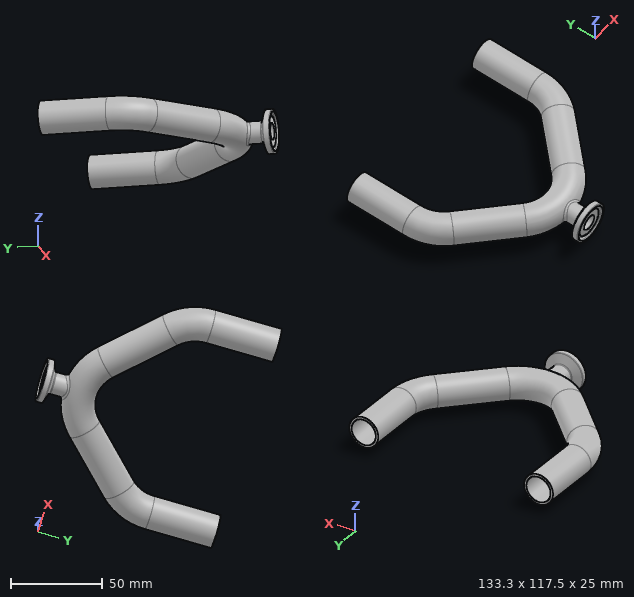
import math

import cadquery as cq

overall_width = 133.3
overall_depth = 117.5
tube_diameter = 19.1
tube_bore = 15.7
leg_length = 38.1
bend_radius = 28.5
bend_angle = 45.0

neck_diameter = 12.7
neck_bore = 9.3
junction_fillet = 1.6
flange_diameter = 25.0
flange_rim_height = 3.7
flange_cone_angle = 20.0
rim_fillet = 0.4
cone_root_fillet = 0.5

groove_outer_diameter = 21.9
groove_cone_diameter = 19.1
seat_diameter = 17.3
seat_recess = 1.1
groove_wall_angle = 45.0

leg_x = (overall_width - tube_diameter) / 2
bend_run = bend_radius * math.sin(math.radians(bend_angle))
bend_offset = bend_radius * (1 - math.cos(math.radians(bend_angle)))
slant_run_x = leg_x - bend_offset - bend_run
slant_run_y = slant_run_x * math.tan(math.radians(bend_angle))
leg_end_y = overall_depth - leg_length
slant_top_y = leg_end_y - bend_run
slant_bottom_y = slant_top_y - slant_run_y
apex_y = slant_bottom_y - bend_offset


def tube_path():
    """Centreline: leg, bend, slant, bottom bend, slant, bend, leg."""
    half_bend = math.radians(bend_angle / 2)
    mid_x = leg_x - bend_radius * (1 - math.cos(half_bend))
    mid_y = leg_end_y - bend_radius * math.sin(half_bend)
    return (
        cq.Workplane("XY")
        .moveTo(-leg_x, overall_depth)
        .lineTo(-leg_x, leg_end_y)
        .threePointArc((-mid_x, mid_y), (-leg_x + bend_offset, slant_top_y))
        .lineTo(-bend_run, slant_bottom_y)
        .threePointArc((0, apex_y), (bend_run, slant_bottom_y))
        .lineTo(leg_x - bend_offset, slant_top_y)
        .threePointArc((mid_x, mid_y), (leg_x, leg_end_y))
        .lineTo(leg_x, overall_depth)
    )


def swept_rod(diameter):
    """Solid round bar along the tube centreline."""
    start = cq.Workplane("XZ", origin=(-leg_x, overall_depth, 0))
    return start.circle(diameter / 2).sweep(tube_path())


def branch_rod(diameter):
    """Solid round bar from the ferrule face to the tube centreline."""
    return cq.Workplane("XZ").circle(diameter / 2).extrude(-apex_y)


def add_branch(tube):
    """Join the neck to the tube and round the seam between them."""
    joined = tube.union(branch_rod(neck_diameter))
    neck_reach = neck_diameter / 2 + junction_fillet
    tube_surface_y = apex_y - tube_diameter / 2
    seam_zone = cq.selectors.BoxSelector(
        (-neck_reach, tube_surface_y / 2, -neck_reach),
        (neck_reach, apex_y, neck_reach),
    )
    return joined.edges(seam_zone).fillet(junction_fillet)


def flange():
    """Ferrule flange: a short rim with a cone behind it that falls to the neck."""
    rim_radius = flange_diameter / 2
    neck_radius = neck_diameter / 2
    cone_height = (rim_radius - neck_radius) * math.tan(math.radians(flange_cone_angle))
    profile = (
        cq.Workplane("XY")
        .lineTo(rim_radius, 0)
        .lineTo(rim_radius, flange_rim_height)
        .lineTo(neck_radius, flange_rim_height + cone_height)
        .lineTo(0, flange_rim_height + cone_height)
        .close()
    )
    disc = profile.revolve(360, (0, 0, 0), (0, 1, 0))
    rim_edges = cq.selectors.RadiusNthSelector(-1)
    return disc.edges(rim_edges).fillet(rim_fillet)


def gasket_recess():
    """Space in front of the seat: straight outer wall, round groove floor, conical inner wall."""
    outer_radius = groove_outer_diameter / 2
    cone_radius = groove_cone_diameter / 2
    seat_radius = seat_diameter / 2
    wall_angle = math.radians(groove_wall_angle)
    arc_radius = (outer_radius - cone_radius) / (1 + math.sin(wall_angle))
    cone_depth = seat_recess + (cone_radius - seat_radius) * math.tan(wall_angle)
    wall_depth = cone_depth - arc_radius * math.cos(wall_angle)
    profile = (
        cq.Workplane("XY")
        .lineTo(outer_radius, 0)
        .lineTo(outer_radius, wall_depth)
        .tangentArcPoint((cone_radius, cone_depth), relative=False)
        .lineTo(seat_radius, seat_recess)
        .lineTo(0, seat_recess)
        .close()
    )
    return profile.revolve(360, (0, 0, 0), (0, 1, 0))


def add_flange(tube):
    """Join the flange to the neck and round the corner where its cone meets the neck."""
    joined = tube.union(flange())
    root_zone = cq.selectors.BoxSelector(
        (-neck_diameter, flange_rim_height, -neck_diameter),
        (neck_diameter, flange_rim_height + neck_diameter / 4, neck_diameter),
    )
    return joined.edges(root_zone).edges("%CIRCLE").fillet(cone_root_fillet)


body = add_flange(add_branch(swept_rod(tube_diameter)))
result = body.cut(gasket_recess()).cut(swept_rod(tube_bore)).cut(branch_rod(neck_bore))